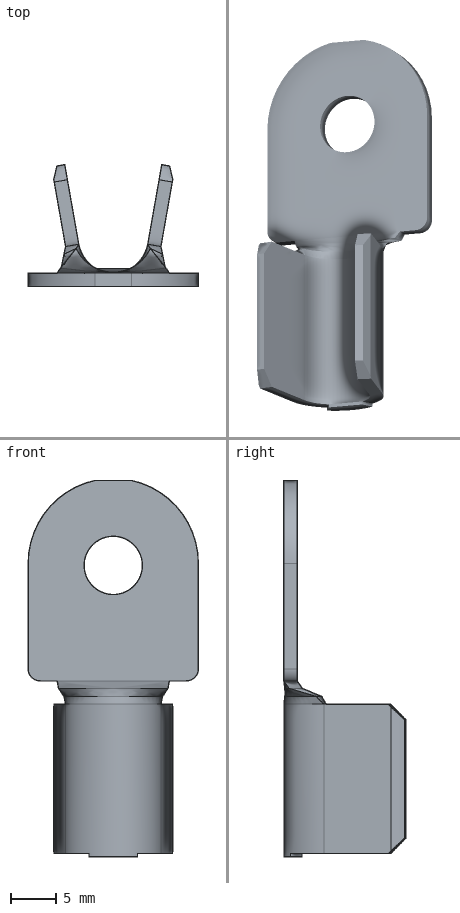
import cadquery as cq
import math

thickness = 1.5

tongue_half_width = 9.4
tongue_flat_half_width = 2.0
tongue_top = math.sqrt(tongue_half_width**2 - tongue_flat_half_width**2)
tongue_bottom = -12.95
tongue_corner_radius = 1.35
hole_diameter = 6.4
hole_drop = 0.2

barrel_radius = 5.35
barrel_inner_radius = barrel_radius - thickness
barrel_top = -15.5
barrel_bottom = -32.0
leg_tilt = 10.0
leg_length = 8.92
bevel_length = 1.7
taper_length = 1.4
tip_thickness = 0.9
barrel_bend = 90.0 - leg_tilt

overall_height = 41.53
lip_bottom = tongue_top - overall_height
lip_half_angle = 30.3

barrel_half_width = barrel_radius * math.sin(math.radians(barrel_bend))
neck_stations = [
    (-13.75, 6.05, 9.0, 0.1),
    (-14.65, 5.45, 65.0, 0.1),
    (barrel_top, barrel_half_width, barrel_bend, 0.0),
]
neck_top_half_width = 6.2


def polar(radius, angle, front=0.0, outer_radius=barrel_radius):
    """XY point on a bend, its angle in degrees measured from the bend's front centre line."""
    turn = math.radians(angle)
    return radius * math.sin(turn), front + outer_radius - radius * math.cos(turn)


def bent_strip(z, outer_radius, half_angle, front=0.0):
    """Closed XY outline, at height z, of a strip bent to a concentric arc."""
    inner_radius = outer_radius - thickness

    def at(radius, angle):
        return polar(radius, angle, front, outer_radius)

    return (
        cq.Workplane("XY", origin=(0, 0, z))
        .moveTo(*at(outer_radius, -half_angle))
        .threePointArc(at(outer_radius, 0), at(outer_radius, half_angle))
        .lineTo(*at(inner_radius, half_angle))
        .threePointArc(at(inner_radius, 0), at(inner_radius, -half_angle))
        .close()
    )


def make_tongue():
    side = tongue_half_width
    arc_mid_angle = math.asin(tongue_top / side) / 2
    arc_mid_x = side * math.cos(arc_mid_angle)
    arc_mid_z = side * math.sin(arc_mid_angle)
    plate = (
        cq.Workplane("XZ")
        .moveTo(-side, tongue_bottom)
        .lineTo(side, tongue_bottom)
        .lineTo(side, 0)
        .threePointArc((arc_mid_x, arc_mid_z), (tongue_flat_half_width, tongue_top))
        .lineTo(-tongue_flat_half_width, tongue_top)
        .threePointArc((-arc_mid_x, arc_mid_z), (-side, 0))
        .close()
        .extrude(-thickness)
    )
    plate = plate.edges("|Y and <Z").fillet(tongue_corner_radius)
    hole = cq.Workplane("XZ").center(0, -hole_drop).circle(hole_diameter / 2).extrude(-thickness)
    return plate.cut(hole)


def make_neck():
    flat_outline = (
        cq.Workplane("XY", origin=(0, 0, tongue_bottom))
        .moveTo(-neck_top_half_width, 0)
        .lineTo(neck_top_half_width, 0)
        .lineTo(neck_top_half_width, thickness)
        .lineTo(-neck_top_half_width, thickness)
        .close()
    )
    outlines = [flat_outline.val()]
    for z, half_width, bend, front in neck_stations:
        radius = half_width / math.sin(math.radians(bend))
        outlines.append(bent_strip(z, radius, bend, front).val())
    faces = [cq.Face.makeFromWires(outlines[0]), cq.Face.makeFromWires(outlines[-1])]
    for upper, lower in zip(outlines, outlines[1:]):
        for upper_edge, lower_edge in zip(upper.Edges(), lower.Edges()):
            faces.append(cq.Face.makeRuledSurface(upper_edge, lower_edge))
    return cq.Workplane(cq.Solid.makeSolid(cq.Shell.makeShell(faces)))


def make_leg():
    """Right-hand crimp leg, tapered on its outer face and bevelled at both ends of its tip."""
    inner_tangent = polar(barrel_inner_radius, barrel_bend)
    tilt = math.radians(leg_tilt)
    plane = cq.Plane(
        origin=(*inner_tangent, barrel_bottom),
        xDir=(math.cos(tilt), -math.sin(tilt), 0),
        normal=(0, 0, 1),
    )
    height = barrel_top - barrel_bottom
    bevel_start = leg_length - bevel_length
    taper_start = leg_length - taper_length
    profile = [
        (0, 0),
        (thickness, 0),
        (thickness, taper_start),
        (tip_thickness, leg_length),
        (0, leg_length),
    ]
    leg = cq.Workplane(plane).polyline(profile).close().extrude(height)
    for end, inward in ((0, 1), (height, -1)):
        corner = [
            (bevel_start, end),
            (leg_length, end),
            (leg_length, end + inward * bevel_length),
        ]
        side_plane = cq.Plane(origin=plane.origin, xDir=plane.yDir, normal=plane.xDir)
        leg = leg.cut(cq.Workplane(side_plane).polyline(corner).close().extrude(thickness))
    return leg


def make_lip():
    """Lip with a round front, radial sides and a flat back that slightly steps into the barrel."""
    return (
        cq.Workplane("XY", origin=(0, 0, lip_bottom))
        .moveTo(*polar(barrel_radius, -lip_half_angle))
        .threePointArc(polar(barrel_radius, 0), polar(barrel_radius, lip_half_angle))
        .lineTo(*polar(barrel_inner_radius, lip_half_angle))
        .lineTo(*polar(barrel_inner_radius, -lip_half_angle))
        .close()
        .extrude(barrel_bottom - lip_bottom)
    )


def make_barrel():
    floor = bent_strip(barrel_bottom, barrel_radius, barrel_bend).extrude(barrel_top - barrel_bottom)
    leg = make_leg()
    return floor.union(make_lip()).union(leg).union(leg.mirror("YZ"))


result = make_tongue().union(make_neck()).union(make_barrel())